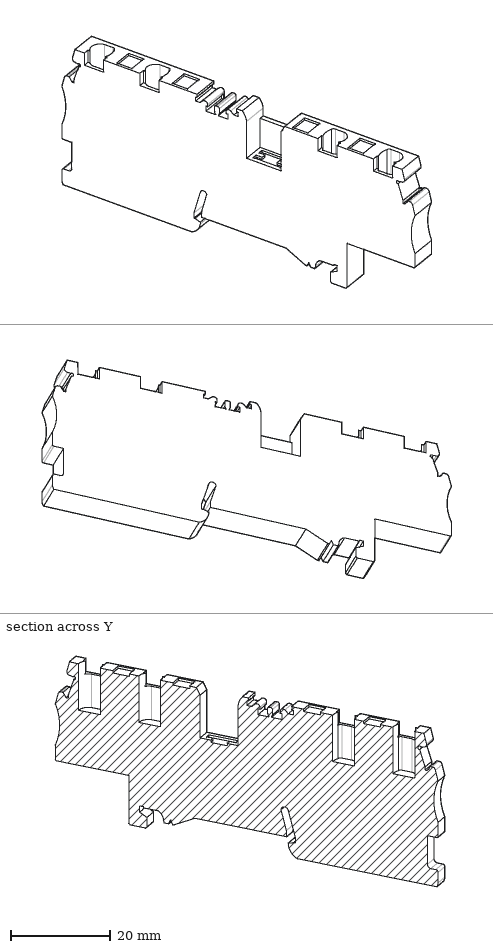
import cadquery as cq

length = 86.0
width = 6.0
height = 33.5

wing_bottom = 10.9
web_y = 5.7
wall_y = 4.9
margin = 1.7


def prism(sketch, y_start, y_end):
    """Extrude a closed XZ wire along Y between two depths."""
    return sketch.extrude(y_start - y_end).translate((0, y_start, 0))


def through(sketch):
    """Extrude a closed XZ wire past both flat sides."""
    return prism(sketch, -margin, width + margin)


def start(x, z):
    return cq.Workplane("XZ").moveTo(x, z)


def mirrored(solid, x_center):
    """Reflect a solid left to right about a plane of constant X."""
    return solid.mirror("YZ", (x_center, 0, 0))


wing_corner_radius = 0.35
foot_right = 69.5
rail_face = 4.4


def upper_body():
    block = cq.Workplane("XY").box(length, width, height - wing_bottom, centered=False)
    block = block.edges("|Y and <Z").fillet(wing_corner_radius)
    return block.translate((0, 0, wing_bottom))


def lower_body():
    left_recess = 2.4
    ledge = 3.9
    ledge_radius = 0.8
    toe_radius = 0.5
    corner = 0.35
    joint = wing_bottom + 0.9
    outline = (
        start(corner, 0)
        .lineTo(31.65, 0)
        .threePointArc((33.0, 1.0), (33.7, 2.7))
        .lineTo(33.7, 3.1)
        .lineTo(32.2, 3.6)
        .lineTo(32.2, rail_face)
        .lineTo(54.6, rail_face)
        .lineTo(59.3, 2.0)
        .lineTo(59.7, 2.0)
        .lineTo(60.1, 2.9)
        .lineTo(60.55, 2.0)
        .lineTo(61.6, 2.0)
        .lineTo(61.75, 2.6)
        .threePointArc((62.1, 3.7), (62.95, rail_face))
        .lineTo(66.1, rail_face)
        .lineTo(66.2, rail_face + 0.3)
        .lineTo(67.0, rail_face + 0.3)
        .lineTo(67.0, 3.35)
        .lineTo(65.4, 2.5)
        .lineTo(65.4, corner)
        .lineTo(65.4 + corner, 0)
        .lineTo(foot_right - corner, 0)
        .lineTo(foot_right, corner)
        .lineTo(foot_right, joint)
        .lineTo(left_recess, joint)
        .lineTo(left_recess, ledge + ledge_radius)
        .radiusArc((left_recess - ledge_radius, ledge), ledge_radius)
        .lineTo(toe_radius, ledge)
        .radiusArc((0, ledge - toe_radius), -toe_radius)
        .lineTo(0, 1.0)
        .radiusArc((corner, 0), -1.7)
        .close()
    )
    return prism(outline, 0, width)


def spring_slot():
    """Leaning slot that frees the right-hand foot to flex."""
    return through(
        start(32.2, rail_face - 0.9)
        .lineTo(32.2, rail_face + 0.35)
        .lineTo(33.7, 10.2)
        .threePointArc((34.5, wing_bottom), (35.3, 10.2))
        .lineTo(34.05, 5.85)
        .lineTo(34.05, rail_face - 0.9)
        .close()
    )


lobe_top = 26.5
groove_web_top = 26.15
groove_left = 1.8
groove_right = 2.9


def end_trim():
    """Material outside the left end profile, above the wing corner."""
    return through(
        start(-margin, 14.45)
        .lineTo(0, 14.45)
        .threePointArc((0.95, 19.1), (0, 23.6))
        .lineTo(0.6, 25.9)
        .threePointArc((0.9, 26.3), (1.4, lobe_top))
        .lineTo(groove_left, lobe_top)
        .lineTo(2.1, groove_web_top)
        .lineTo(groove_right, groove_web_top)
        .lineTo(4.3, 30.3)
        .lineTo(3.3, 30.45)
        .threePointArc((2.75, 30.7), (2.6, 31.3))
        .lineTo(3.2, height)
        .lineTo(3.2, height + margin)
        .lineTo(-margin, height + margin)
        .close()
    )


def end_grooves():
    """Blind groove and relief beside the left end, closed by the rear web."""
    groove_floor = 25.45
    groove = (
        start(groove_left, lobe_top)
        .lineTo(2.5, groove_floor)
        .lineTo(groove_right, groove_floor)
        .lineTo(groove_right, lobe_top)
        .close()
    )
    relief = start(4.2, 30.1).circle(0.35)
    return prism(groove, -margin, web_y).union(prism(relief, -margin, web_y))


comb_center = 37.75
comb_floor = 30.3


def comb_opening():
    """Left half of the marker opening, up to the middle of the center post."""
    return through(
        start(32.9, height + margin)
        .lineTo(32.9, 32.85)
        .lineTo(32.6, 32.7)
        .lineTo(32.6, 31.8)
        .lineTo(33.6, 31.8)
        .lineTo(34.4, 32.5)
        .threePointArc((35.1, 32.6), (35.5, 32.0))
        .lineTo(35.5, comb_floor)
        .lineTo(37.4, comb_floor)
        .lineTo(37.15, 30.9)
        .lineTo(37.15, 32.1)
        .threePointArc((37.3, 32.3), (37.6, 32.4))
        .lineTo(comb_center, 32.4)
        .lineTo(comb_center, height + margin)
        .close()
    )


def comb_undercut():
    """Blind undercut beneath the left tooth, closed by the rear web."""
    left, right, top = 35.1, 35.7, 31.5
    undercut = cq.Workplane("XY").box(right - left, web_y + margin, top - comb_floor, centered=False)
    return undercut.translate((left, -margin, comb_floor))


bay_left = 45.0
bay_right = 53.4
bay_floor = 22.5
bay_wall_top = 29.5
mark_depth = 0.5


def label_bay():
    mouth = through(
        start(bay_left, bay_wall_top)
        .lineTo(bay_left, 31.4)
        .threePointArc((44.6, 32.6), (43.95, height))
        .lineTo(43.95, height + margin)
        .lineTo(54.3, height + margin)
        .lineTo(54.3, height)
        .lineTo(bay_right, 32.0)
        .lineTo(bay_right, bay_wall_top)
        .close()
    )
    bay = cq.Workplane("XY").box(
        bay_right - bay_left, wall_y + margin, height - bay_floor, centered=False
    ).translate((bay_left, -margin, bay_floor))
    return mouth.union(bay)


def bay_mark():
    """Sunk H-shaped mark in the floor of the bay."""
    center_x = (bay_left + bay_right) / 2
    center_y = 2.6
    mark_length = 6.5
    mark_width = 3.2
    waist_length = 3.6
    waist_gap = 1.0
    plane = cq.Workplane("XY").workplane(offset=bay_floor - mark_depth).center(center_x, center_y)
    mark = plane.rect(mark_length, mark_width).extrude(2 * mark_depth)
    bar = plane.rect(mark_length, waist_gap).extrude(2 * mark_depth)
    waist = plane.rect(waist_length, waist_gap).extrude(2 * mark_depth)
    return mark.cut(bar).union(waist)


pitch = 13.5
well_left = 5.3
well_right = 10.15
well_depth = 10.3
well_front = 0.8
window_left = 5.5
window_floor = 30.6
mark_left = 13.0
mark_right = 16.7
mark_front = 0.6


def wire_well():
    """Rounded wire entry with a window through the front face."""
    center_y = (well_front + wall_y) / 2
    flat_left = 7.05
    flat_right = 9.2
    side_x = 9.8
    corner_rise = 0.5
    well = (
        cq.Workplane("XY")
        .workplane(offset=height - well_depth)
        .moveTo(flat_left, well_front)
        .threePointArc((well_left, center_y), (flat_left, wall_y))
        .lineTo(flat_right, wall_y)
        .radiusArc((side_x, wall_y - corner_rise), corner_rise)
        .threePointArc((well_right, center_y), (side_x, well_front + corner_rise))
        .radiusArc((flat_right, well_front), corner_rise)
        .close()
        .extrude(well_depth + margin)
    )
    window = cq.Workplane("XY").box(
        well_right - window_left,
        margin + well_front + corner_rise,
        height - window_floor + margin,
        centered=False,
    )
    return well.union(window.translate((window_left, -margin, window_floor)))


def test_mark():
    """Shallow rectangular mark in the top face."""
    return cq.Workplane("XY").box(
        mark_right - mark_left, wall_y - mark_front, mark_depth + margin, centered=False
    ).translate((mark_left, mark_front, height - mark_depth))


result = upper_body().union(lower_body())
result = result.cut(spring_slot()).cut(label_bay()).cut(bay_mark())

for cutter in (end_trim(), end_grooves()):
    result = result.cut(cutter).cut(mirrored(cutter, length / 2))

for cutter in (comb_opening(), comb_undercut()):
    result = result.cut(cutter).cut(mirrored(cutter, comb_center))

for clamp in range(2):
    for feature in (wire_well(), test_mark()):
        cutter = feature.translate((clamp * pitch, 0, 0))
        result = result.cut(cutter).cut(mirrored(cutter, length / 2))